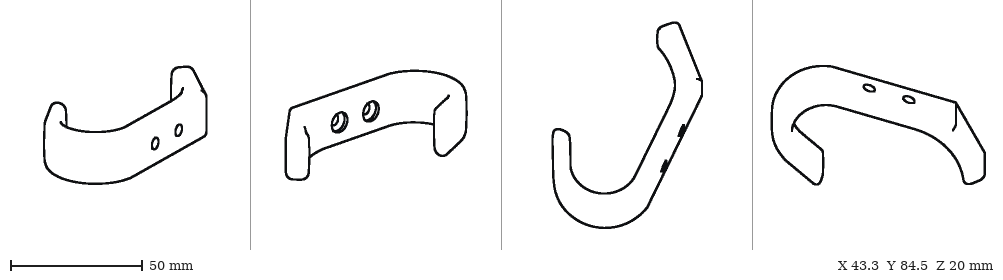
import cadquery as cq
import math

WIDTH = 20.0
BACK_LENGTH = 50.0
EDGE_THICKNESS = 7.0

CROWN_RADIUS = 100.0
CROWN_HEIGHT = CROWN_RADIUS - math.sqrt(CROWN_RADIUS**2 - (WIDTH / 2) ** 2)
LENS_ROOT = 1.0

ARM_LEAN = math.radians(45.0)
ARM_LENGTH = 26.0
ARM_ARC_RADIUS = 28.5
ARM_ARC_CENTRE = (-EDGE_THICKNESS - ARM_ARC_RADIUS, 35.4)

HOOK_INNER_RADIUS = 13.25
HOOK_INNER_CENTRE = (-EDGE_THICKNESS - HOOK_INNER_RADIUS, 4.5)
HOOK_OUTER_RADIUS = 19.3
HOOK_OUTER_CENTRE = (-HOOK_OUTER_RADIUS, 3.1)
HOOK_LEAN = math.radians(25.5)
HOOK_TIP_Y = 9.3

SIDE_FILLET = 3.0
END_FILLET = 1.5

HOLE_HEIGHTS = (15.0, 31.0)
HOLE_DIAMETER = 4.5
COUNTERSINK_DIAMETER = 8.0
COUNTERSINK_RECESS = 1.6
COUNTERSINK_ANGLE = math.radians(90.0)

TOLERANCE = 0.01
OVERRUN = 5.0


def polar(centre, radius, angle):
    return (centre[0] + radius * math.cos(angle), centre[1] + radius * math.sin(angle))


def along_lean(start, lean, length):
    """Point reached from start on a line leaning from +Y towards -X."""
    return (start[0] - length * math.sin(lean), start[1] + length * math.cos(lean))


def past_tip(start, lean):
    return along_lean(start, lean, (HOOK_TIP_Y + OVERRUN - start[1]) / math.cos(lean))


ARM_ARC_END_ANGLE = math.radians(75.0)
ARM_ARC_END = polar(ARM_ARC_CENTRE, ARM_ARC_RADIUS, ARM_ARC_END_ANGLE)
ARM_ARC_MIDDLE = polar(ARM_ARC_CENTRE, ARM_ARC_RADIUS, ARM_ARC_END_ANGLE / 2)
HOOK_INNER_END = polar(HOOK_INNER_CENTRE, HOOK_INNER_RADIUS, math.pi + HOOK_LEAN)
HOOK_OUTER_END = polar(HOOK_OUTER_CENTRE, HOOK_OUTER_RADIUS, math.pi + HOOK_LEAN)
HOOK_OUTER_START = polar(HOOK_OUTER_CENTRE, HOOK_OUTER_RADIUS, 0)
ARM_ARC_START = polar(ARM_ARC_CENTRE, ARM_ARC_RADIUS, 0)
HOOK_INNER_START = polar(HOOK_INNER_CENTRE, HOOK_INNER_RADIUS, 0)


def edge_strip():
    """Uncrowned strip, over-long at both ends."""
    bottom = -math.pi / 2
    return (
        cq.Workplane("XY", origin=(0, 0, -WIDTH / 2))
        .moveTo(*HOOK_OUTER_START)
        .lineTo(0, BACK_LENGTH)
        .lineTo(*along_lean((0, BACK_LENGTH), ARM_LEAN, ARM_LENGTH + OVERRUN))
        .lineTo(*ARM_ARC_END)
        .threePointArc(ARM_ARC_MIDDLE, ARM_ARC_START)
        .lineTo(*HOOK_INNER_START)
        .threePointArc(polar(HOOK_INNER_CENTRE, HOOK_INNER_RADIUS, bottom), HOOK_INNER_END)
        .lineTo(*past_tip(HOOK_INNER_END, HOOK_LEAN))
        .lineTo(*past_tip(HOOK_OUTER_END, HOOK_LEAN))
        .lineTo(*HOOK_OUTER_END)
        .threePointArc(polar(HOOK_OUTER_CENTRE, HOOK_OUTER_RADIUS, bottom), HOOK_OUTER_START)
        .close()
        .extrude(WIDTH)
    )


def lens(plane, base, outward):
    """Crown section: root sunk into the strip, arc bulging along the plane's local X."""
    half = WIDTH / 2
    root = base - outward * LENS_ROOT
    return (
        cq.Workplane(plane)
        .moveTo(root, -half)
        .lineTo(base, -half)
        .threePointArc((base + outward * CROWN_HEIGHT, 0), (base, half))
        .lineTo(root, half)
        .close()
    )


def straight_crown(start, end, outward):
    """Crown along a straight edge; outward is +1 to the left of the run, -1 to its right."""
    run = cq.Vector(end[0] - start[0], end[1] - start[1], 0)
    side = cq.Vector(-run.y, run.x, 0).normalized() * outward
    plane = cq.Plane(origin=(*start, 0), xDir=side, normal=run.normalized())
    return lens(plane, 0, 1).extrude(run.Length)


def arc_crown(centre, radius, start_angle, end_angle, outward):
    """Crown along an arc; outward is +1 away from the centre, -1 towards it."""
    direction = cq.Vector(math.cos(start_angle), math.sin(start_angle), 0)
    normal = direction.cross(cq.Vector(0, 0, 1))
    plane = cq.Plane(origin=(*centre, 0), xDir=direction, normal=normal)
    axis_sign = 1 if end_angle > start_angle else -1
    sweep = math.degrees(abs(end_angle - start_angle))
    return lens(plane, radius, outward).revolve(sweep, (0, 0), (0, axis_sign))


def crowned_strip():
    crowns = (
        arc_crown(ARM_ARC_CENTRE, ARM_ARC_RADIUS, 0, ARM_ARC_END_ANGLE, -1),
        straight_crown(HOOK_INNER_START, ARM_ARC_START, 1),
        arc_crown(HOOK_INNER_CENTRE, HOOK_INNER_RADIUS, 0, HOOK_LEAN - math.pi, -1),
        straight_crown(HOOK_INNER_END, past_tip(HOOK_INNER_END, HOOK_LEAN), -1),
        straight_crown(HOOK_OUTER_END, past_tip(HOOK_OUTER_END, HOOK_LEAN), 1),
        arc_crown(HOOK_OUTER_CENTRE, HOOK_OUTER_RADIUS, HOOK_LEAN - math.pi, 0, 1),
    )
    strip = edge_strip()
    for crown in crowns:
        strip = strip.union(crown)
    return strip


def trim_ends(strip):
    """Cut the arm square, the hook tip parallel to X, and the back flat."""
    size = 4 * BACK_LENGTH
    block = cq.Workplane("XY").box(size, size, size)
    behind_back = block.translate((size / 2, 0, 0))

    arm_block_centre = along_lean((0, BACK_LENGTH), ARM_LEAN, ARM_LENGTH + size / 2)
    past_arm = block.rotate((0, 0, 0), (0, 0, 1), math.degrees(ARM_LEAN))
    past_arm = past_arm.translate((*arm_block_centre, 0))

    tip_height = 2 * OVERRUN
    above_tip = cq.Workplane("XY").box(BACK_LENGTH, tip_height, 2 * WIDTH).translate(
        (HOOK_INNER_CENTRE[0] - BACK_LENGTH / 2, HOOK_TIP_Y + tip_height / 2, 0)
    )
    return strip.cut(past_arm).cut(behind_back).cut(above_tip)


def in_arm_end(shape):
    centre = shape.Center()
    reach = (centre.y - BACK_LENGTH) * math.cos(ARM_LEAN) - centre.x * math.sin(ARM_LEAN)
    return abs(reach - ARM_LENGTH) < TOLERANCE


def in_hook_tip(shape):
    return abs(shape.Center().y - HOOK_TIP_Y) < TOLERANCE


def round_edges(strip):
    """Round the long side edges, then the rims of the two ends."""
    side_edges = [
        edge
        for edge in strip.faces("|Z").edges().vals()
        if not in_arm_end(edge) and not in_hook_tip(edge)
    ]
    rounded = strip.newObject(side_edges).fillet(SIDE_FILLET)
    end_faces = [
        face
        for face in rounded.faces("%PLANE").vals()
        if in_arm_end(face) or in_hook_tip(face)
    ]
    return rounded.newObject(end_faces).edges().fillet(END_FILLET)


def screw_hole(height):
    """Countersunk hole through the back, opening at the crest of the inner face."""
    crest = -EDGE_THICKNESS - CROWN_HEIGHT
    cone_depth = (COUNTERSINK_DIAMETER - HOLE_DIAMETER) / 2 / math.tan(COUNTERSINK_ANGLE / 2)
    bore = cq.Workplane("YZ", origin=(crest, height, 0)).circle(HOLE_DIAMETER / 2).extrude(-crest)
    recess = (
        cq.Workplane("YZ", origin=(crest, height, 0))
        .circle(COUNTERSINK_DIAMETER / 2)
        .extrude(COUNTERSINK_RECESS)
    )
    cone = cq.Solid.makeCone(
        COUNTERSINK_DIAMETER / 2,
        HOLE_DIAMETER / 2,
        cone_depth,
        pnt=cq.Vector(crest + COUNTERSINK_RECESS, height, 0),
        dir=cq.Vector(1, 0, 0),
    )
    return bore.union(recess).union(cq.Workplane(cone))


result = round_edges(trim_ends(crowned_strip()))
for hole_height in HOLE_HEIGHTS:
    result = result.cut(screw_hole(hole_height))